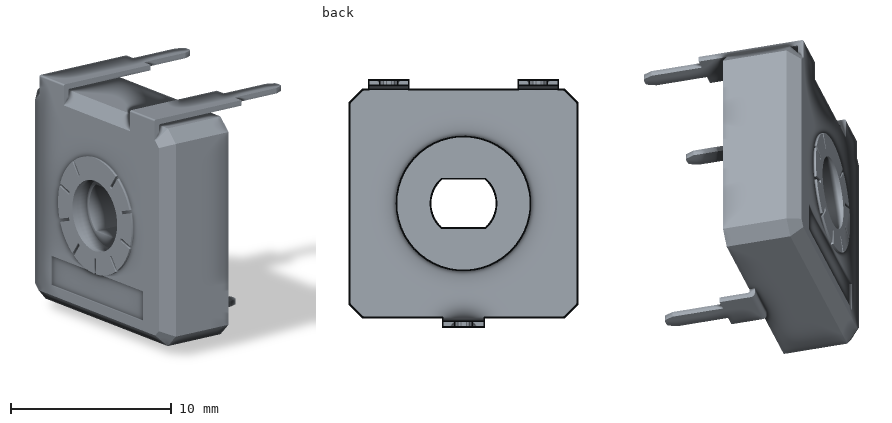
import cadquery as cq

total_height = 15.4
housing_side = 14.2
housing_depth = 4.88
corner_cut = 0.82
front_chamfer = 0.75

ring_radius = 3.77
ring_slot_inner_radius = 2.75
ring_height = 0.17
ring_slot_width = 0.2
ring_slot_overcut = 0.15
ring_slot_places = 10
ring_slot_spacing = 360 / ring_slot_places

bore_radius = 2.3
bore_depth = 0.95
flatted_hole_radius = 2.05
flatted_hole_height = 3.05

back_disc_radius = 4.17
back_disc_height = 0.54

label_width = 9.42
label_height = 1.94
label_depth = 0.14

sheet_thickness = 0.35
inner_bend_radius = 0.1
pin_reach = 5.8
pin_end_y = housing_depth + pin_reach
pin_shoulder_y = 6.8
pin_width = 1.11
tip_width = 0.59
tip_length = 0.6
tip_radius = 0.2

side_strip_x = 4.65
side_strip_width = 2.51
side_bend_radius = 0.11
side_plate_top = 6.25
side_plate_inner_x = 0.52
side_plate_step_z = 3.83
side_plate_bottom = 0.52
middle_strip_width = 2.59
middle_bend_radius = 0.25
middle_leg_embed = 0.92

strip_top = total_height / 2


def cylinder_along_y(radius, y_start, y_end):
    """Solid cylinder on the Y axis between two Y positions."""
    return cq.Workplane("XZ", origin=(0, y_start, 0)).circle(radius).extrude(y_start - y_end)


def box_between(x_range, y_range, z_range):
    """Axis-aligned box spanning the three (low, high) ranges."""
    size = [high - low for low, high in (x_range, y_range, z_range)]
    corner = (x_range[0], y_range[0], z_range[0])
    return cq.Workplane("XY").box(*size, centered=False).translate(corner)


def make_housing():
    """Square block with cut corners and a chamfered front rim."""
    block = (
        cq.Workplane("XZ")
        .rect(housing_side, housing_side)
        .extrude(-housing_depth)
        .edges("|Y")
        .chamfer(corner_cut)
    )
    return block.faces("<Y").edges().chamfer(front_chamfer)


def make_ring():
    """Raised front ring with radial slots; the slot at the top is left out."""
    ring = cylinder_along_y(ring_radius, -ring_height, 0)
    slot = box_between(
        (-ring_slot_width / 2, ring_slot_width / 2),
        (-ring_height, 0),
        (ring_slot_inner_radius, ring_radius + ring_slot_overcut),
    )
    for index in range(1, ring_slot_places):
        ring = ring.cut(slot.rotate((0, 0, 0), (0, 1, 0), index * ring_slot_spacing))
    return ring


def make_hole():
    """Round bore at the front that narrows to a hole with flats above and below."""
    bore = cylinder_along_y(bore_radius, -ring_height, bore_depth)
    back_y = housing_depth + back_disc_height
    narrow = cylinder_along_y(flatted_hole_radius, 0, back_y)
    half_height = flatted_hole_height / 2
    between_flats = box_between(
        (-flatted_hole_radius, flatted_hole_radius), (0, back_y), (-half_height, half_height)
    )
    return bore.union(narrow.intersect(between_flats))


def make_strip(center_x, strip_width, leg_front_y, leg_end_z, outer_bend_radius):
    """Bent strip: a leg rising along Z from leg_end_z, then a flat strip and tapered pin along Y.

    The strip lies with its upper face at the top of the part.
    """
    half_strip = strip_width / 2
    half_pin = pin_width / 2
    half_tip = tip_width / 2
    outline = (
        cq.Workplane("XY", origin=(center_x, 0, leg_end_z))
        .moveTo(-half_strip, leg_front_y)
        .lineTo(-half_strip, pin_shoulder_y)
        .lineTo(-half_pin, pin_shoulder_y)
        .lineTo(-half_pin, pin_end_y - tip_length)
        .lineTo(-half_tip, pin_end_y)
        .lineTo(half_tip, pin_end_y)
        .lineTo(half_pin, pin_end_y - tip_length)
        .lineTo(half_pin, pin_shoulder_y)
        .lineTo(half_strip, pin_shoulder_y)
        .lineTo(half_strip, leg_front_y)
        .close()
        .extrude(strip_top - leg_end_z)
        .faces(">Y")
        .edges("|Z")
        .fillet(tip_radius)
    )
    x_range = (center_x - half_strip, center_x + half_strip)
    bent_outside = (
        box_between(x_range, (leg_front_y, pin_end_y), (leg_end_z, strip_top))
        .faces("<Y")
        .edges(">Z")
        .fillet(outer_bend_radius)
    )
    bent_inside = (
        box_between(
            x_range,
            (leg_front_y + sheet_thickness, pin_end_y),
            (leg_end_z, strip_top - sheet_thickness),
        )
        .faces("<Y")
        .edges(">Z")
        .fillet(inner_bend_radius)
    )
    return outline.intersect(bent_outside).cut(bent_inside)


def make_left_terminal():
    """Terminal bent over the top, with a stepped plate set flush into the front face."""
    strip = make_strip(-side_strip_x, side_strip_width, 0, side_plate_top, side_bend_radius)
    plate_outer_x = -side_strip_x - side_strip_width / 2
    plate = (
        cq.Workplane("XZ")
        .moveTo(plate_outer_x, side_plate_top)
        .lineTo(-side_plate_inner_x, side_plate_top)
        .lineTo(-side_plate_inner_x, side_plate_step_z)
        .lineTo(-ring_radius, side_plate_step_z)
        .lineTo(-ring_radius, side_plate_bottom)
        .lineTo(plate_outer_x, side_plate_bottom)
        .close()
        .extrude(-sheet_thickness)
    )
    return strip.union(plate)


def make_middle_terminal():
    """Terminal leaving the bottom of the housing at its back face."""
    strip = make_strip(
        0,
        middle_strip_width,
        housing_depth - sheet_thickness,
        housing_side / 2 - middle_leg_embed,
        middle_bend_radius,
    )
    return strip.mirror("XY")


def make_label_recess():
    """Shallow rectangular recess below the ring."""
    return box_between(
        (-label_width / 2, label_width / 2), (0, label_depth), (-ring_radius - label_height, -ring_radius)
    )


left_terminal = make_left_terminal()
right_terminal = left_terminal.mirror("YZ")
back_disc = cylinder_along_y(back_disc_radius, housing_depth, housing_depth + back_disc_height)

result = (
    make_housing()
    .cut(make_label_recess())
    .union(make_ring())
    .union(back_disc)
    .cut(make_hole())
    .union(make_middle_terminal())
    .cut(left_terminal)
    .cut(right_terminal)
    .union(left_terminal, clean=False)
    .union(right_terminal, clean=False)
)